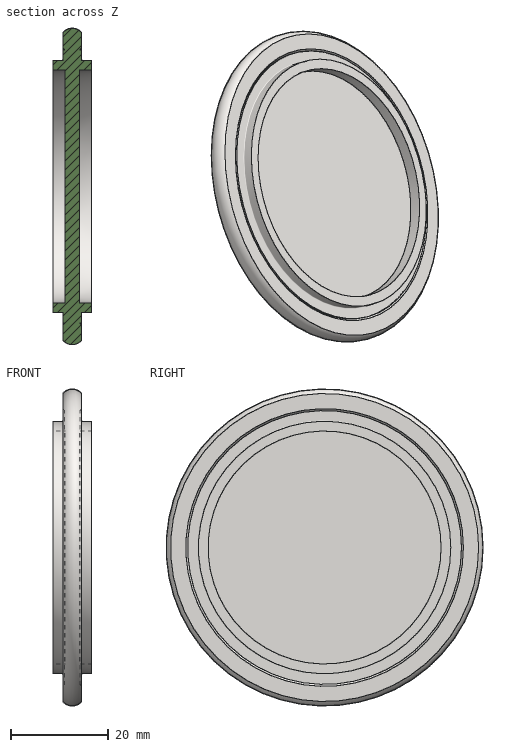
import cadquery as cq
import math

overall_width = 8.0
seal_width = 3.9
pocket_depth = 2.5

outer_radius = 32.665
cord_radius = 2.5
web_radius = 28.2
boss_radius = 26.0
pocket_radius = 24.0

boss_root_fillet = 0.15

half_width = overall_width / 2
half_seal = seal_width / 2
cord_center_radius = outer_radius - cord_radius
flat_half_height = math.sqrt(cord_radius**2 - half_seal**2)


def cylinder_on_x(radius, x_start, x_end):
    """Solid cylinder about the X axis between two X positions."""
    return cq.Workplane("YZ", origin=(x_start, 0, 0)).circle(radius).extrude(x_end - x_start)


def make_carrier():
    """Web disc with a boss on each side, revolved about the X axis with filleted boss roots."""
    fillet_side = half_seal + boss_root_fillet
    fillet_top = boss_radius + boss_root_fillet
    arc_offset = boss_root_fillet * (1 - math.sqrt(0.5))
    arc_mid_side = half_seal + arc_offset
    arc_mid_radius = boss_radius + arc_offset
    profile = (
        cq.Workplane("XY")
        .moveTo(-half_width, 0)
        .lineTo(-half_width, boss_radius)
        .lineTo(-fillet_side, boss_radius)
        .threePointArc((-arc_mid_side, arc_mid_radius), (-half_seal, fillet_top))
        .lineTo(-half_seal, web_radius)
        .lineTo(half_seal, web_radius)
        .lineTo(half_seal, fillet_top)
        .threePointArc((arc_mid_side, arc_mid_radius), (fillet_side, boss_radius))
        .lineTo(half_width, boss_radius)
        .lineTo(half_width, 0)
        .close()
    )
    return profile.revolve(360, (0, 0, 0), (1, 0, 0))


def make_seal_ring():
    """Round-section ring with both sides flattened; a narrow groove stays between it and the web."""
    inner_flat_radius = cord_center_radius - flat_half_height
    outer_flat_radius = cord_center_radius + flat_half_height
    inner_radius = cord_center_radius - cord_radius
    profile = (
        cq.Workplane("XY")
        .moveTo(-half_seal, inner_flat_radius)
        .lineTo(-half_seal, outer_flat_radius)
        .threePointArc((0, outer_radius), (half_seal, outer_flat_radius))
        .lineTo(half_seal, inner_flat_radius)
        .threePointArc((0, inner_radius), (-half_seal, inner_flat_radius))
        .close()
    )
    return profile.revolve(360, (0, 0, 0), (1, 0, 0))


result = make_carrier().union(make_seal_ring())

for side in (-1, 1):
    pocket_floor = side * (half_width - pocket_depth)
    result = result.cut(cylinder_on_x(pocket_radius, pocket_floor, side * half_width))